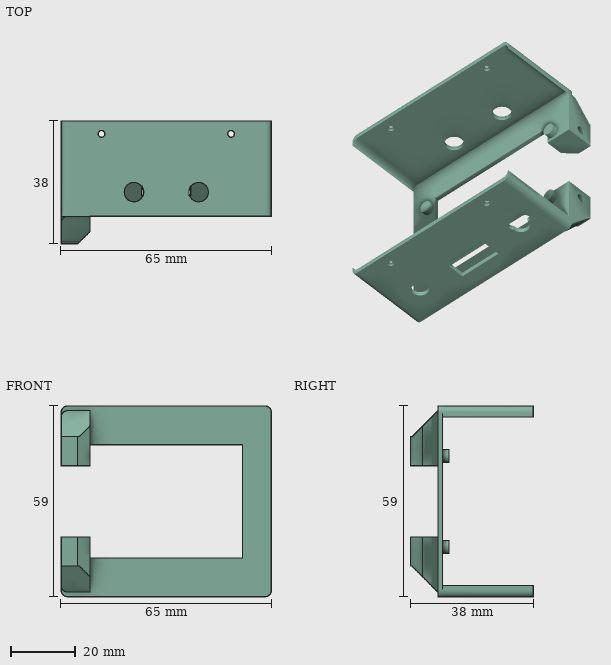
import cadquery as cq

LENGTH = 65.0
HEIGHT = 59.0
DEPTH = 29.5
WALL = 1.5
CORNER_RADIUS = 2.0

FRAME_SIDE = 9.0
FRAME_RAIL = 12.0

BLOCK_WIDTH = FRAME_SIDE
BLOCK_END = 18.5
BLOCK_REACH = 8.5
BLOCK_LEDGE = 0.5
BLOCK_CHAMFER = 3.85
BLOCK_HOLE_DIAMETER = 3.0
BLOCK_HOLE_DEPTH = 6.5
BLOCK_HOLE_REACH = 4.0
BLOCK_HOLE_HEIGHT = 15.0

PIN_DIAMETER = 4.0
PIN_LENGTH = 2.0
PIN_INSET = 6.75
PIN_HEIGHT = 15.5

SCREW_DIAMETER = 2.0
SCREW_SPACING = 40.05
SCREW_BACK_INSET = 4.0
ACCESS_DIAMETER = 6.0
ACCESS_SPACING = 20.0
ACCESS_Y = 7.5
LOWER_HOLE_DIAMETER = 5.5
LOWER_HOLE_SPACING = 42.25
LOWER_HOLE_Y = 10.9
ROUND_SLOT_WIDTH = 3.0
ROUND_SLOT_LENGTH = 8.0
ROUND_SLOT_START = 6.7
ROUND_SLOT_Y = 12.55
CENTER_SLOT_LENGTH = 15.0
CENTER_SLOT_FRONT = 6.45
CENTER_SLOT_BACK = 12.5

MID_X = LENGTH / 2


def box(x0, x1, y0, y1, z0, z1):
    """Box between the given limits."""
    return cq.Workplane("XY").box(x1 - x0, y1 - y0, z1 - z0, centered=False).translate((x0, y0, z0))


def rounded_bar(z0, z1, y0, y1):
    """Full-length bar along Y with its four long edges rounded."""
    return box(0, LENGTH, y0, y1, z0, z1).edges("|Y").fillet(CORNER_RADIUS)


def mirror_up(shape):
    """Copy of a lower feature at the upper plate."""
    return shape.mirror("XY", (0, 0, HEIGHT / 2))


def plate_holes(diameter, spacing, y, z0):
    """Pair of vertical cutters through one plate, centred along X."""
    places = [(MID_X - spacing / 2, y), (MID_X + spacing / 2, y)]
    return cq.Workplane("XY", origin=(0, 0, z0)).pushPoints(places).circle(diameter / 2).extrude(WALL)


def make_shell():
    """Front wall and two plates whose curved edges taper to the open ends."""
    shell = rounded_bar(0, HEIGHT, 0, DEPTH)
    shell = shell.cut(rounded_bar(WALL, HEIGHT - WALL, WALL, DEPTH))
    window = box(0, LENGTH - FRAME_SIDE, 0, WALL, FRAME_RAIL, HEIGHT - FRAME_RAIL)
    return shell.cut(window)


def make_block():
    """Lower hinge block with a 45 degree underside and a bevelled inner edge."""
    slope_end = BLOCK_REACH - BLOCK_LEDGE
    side = [
        (WALL, WALL),
        (0, WALL),
        (-slope_end, WALL + slope_end),
        (-BLOCK_REACH, WALL + slope_end),
        (-BLOCK_REACH, BLOCK_END),
        (WALL, BLOCK_END),
    ]
    block = cq.Workplane("YZ").polyline(side).close().extrude(BLOCK_WIDTH)
    bevel = [
        (BLOCK_WIDTH, -BLOCK_REACH),
        (BLOCK_WIDTH - BLOCK_CHAMFER, -BLOCK_REACH),
        (BLOCK_WIDTH, -BLOCK_REACH + BLOCK_CHAMFER),
    ]
    block = block.cut(cq.Workplane("XY").polyline(bevel).close().extrude(BLOCK_END))
    block = block.intersect(rounded_bar(WALL, HEIGHT - WALL, -BLOCK_REACH, WALL))
    hole = (
        cq.Workplane("YZ")
        .center(-BLOCK_HOLE_REACH, BLOCK_HOLE_HEIGHT)
        .circle(BLOCK_HOLE_DIAMETER / 2)
        .extrude(BLOCK_HOLE_DEPTH)
    )
    return block.cut(hole)


def make_pins():
    """Lower pair of pins behind the front wall."""
    places = [(PIN_INSET, PIN_HEIGHT), (LENGTH - PIN_INSET, PIN_HEIGHT)]
    pins = cq.Workplane("XZ").pushPoints(places)
    return pins.circle(PIN_DIAMETER / 2).extrude(-PIN_LENGTH).translate((0, WALL, 0))


result = make_shell()
for feature in (make_block(), make_pins()):
    result = result.union(feature).union(mirror_up(feature))

screw_holes = plate_holes(SCREW_DIAMETER, SCREW_SPACING, DEPTH - SCREW_BACK_INSET, 0)
result = result.cut(screw_holes).cut(mirror_up(screw_holes))

result = result.cut(plate_holes(ACCESS_DIAMETER, ACCESS_SPACING, ACCESS_Y, HEIGHT - WALL))

result = result.cut(plate_holes(LOWER_HOLE_DIAMETER, LOWER_HOLE_SPACING, LOWER_HOLE_Y, 0))

round_slot = (
    cq.Workplane("XY")
    .center(ROUND_SLOT_START + ROUND_SLOT_LENGTH / 2, ROUND_SLOT_Y)
    .slot2D(ROUND_SLOT_LENGTH, ROUND_SLOT_WIDTH)
    .extrude(WALL)
)
result = result.cut(round_slot)

center_slot = box(
    MID_X - CENTER_SLOT_LENGTH / 2,
    MID_X + CENTER_SLOT_LENGTH / 2,
    CENTER_SLOT_FRONT,
    CENTER_SLOT_BACK,
    0,
    WALL,
)
result = result.cut(center_slot)